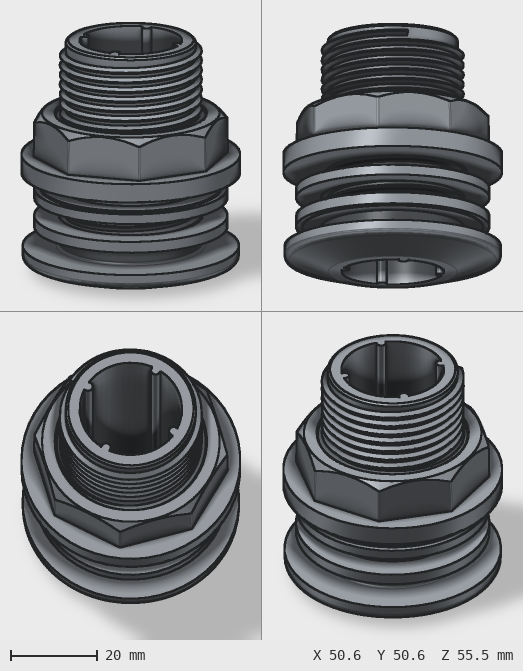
import cadquery as cq
import math

total_height = 55.5

bore_radius = 11.8
tube_radius = 15.05
tube_end_chamfer = 0.55
neck_radius = 16.6
neck_top = 12.2
neck_fillet = 0.65
stem_flange_radius = 25.05
stem_flange_top = 6.15
stem_base_radius = 14.95
stem_corner_height = 3.05
stem_corner_fillet = 1.45

rib_count = 4
rib_radius = 1.1
rib_tip_radius = 10.3
rib_embed = 0.55

thread_crest_radius = 16.45
thread_half_angle = 27.5
thread_top = 53.4
thread_end_angle = 90.0
thread_turns = 18
thread_length = 41.55
thread_pitch = thread_length / thread_turns
thread_embed = 0.15

nut_bottom = 23.7
nut_top = 37.95
nut_flange_radius = 25.3
nut_flange_height = 4.4
nut_sides = 8
nut_corner_radius = 22.6
nut_draft = 0.9
nut_twist = 1.2
nut_edge_fillet = 0.55
nut_top_face_radius = 20.55
nut_crown_radius = 22.5
nut_crown_drop = 1.85
nut_bore_radius = tube_radius + 0.35
nut_groove_radius = thread_crest_radius + 0.8
nut_groove_end_angle = 270.0
nut_groove_turns = 8
nut_groove_turns_below_tip = 7
nut_mouth_radius = 17.6
nut_mouth_chamfer = 0.3
nut_mouth_depth = 0.5

washer_radius = 22.35
washer_ring_radius = 20.9
upper_washer_bottom = 17.65
upper_washer_thickness = 2.35
upper_washer_ring_height = 0.4
lower_washer_top = 13.4
lower_washer_thickness = 2.6
lower_washer_ring_height = 0.15


def cylinder(radius, bottom, top):
    return cq.Workplane("XY").workplane(offset=bottom).circle(radius).extrude(top - bottom)


def revolved(points):
    """Solid of revolution about Z from (radius, height) points."""
    return cq.Workplane("XZ").polyline(points).close().revolve(360, (0, 0), (0, 1))


def turned_about_z(body, angle):
    return body.rotate((0, 0, 0), (0, 0, 1), angle)


def helical_v(base_radius, apex_radius, turns, end_angle, end_height):
    """Right-handed V-section helix whose upper end is at end_angle and end_height."""
    length = turns * thread_pitch
    half_width = (apex_radius - base_radius) * math.tan(math.radians(thread_half_angle))
    path = cq.Workplane(cq.Wire.makeHelix(thread_pitch, length, base_radius))
    helix = (
        cq.Workplane("XZ")
        .polyline([(base_radius, -half_width), (apex_radius, 0), (base_radius, half_width)])
        .close()
        .sweep(path, isFrenet=True)
    )
    return turned_about_z(helix, end_angle - 360 * turns).translate((0, 0, end_height - length))


def make_stem_flange():
    """Flange with a conical underside and a rounded lower corner."""
    disc = revolved([
        (0, 0),
        (stem_base_radius, 0),
        (stem_flange_radius, stem_corner_height),
        (stem_flange_radius, stem_flange_top),
        (0, stem_flange_top),
    ])
    lower_corner = cq.selectors.NearestToPointSelector((stem_flange_radius, 0, stem_corner_height))
    return disc.edges("%CIRCLE").edges(lower_corner).fillet(stem_corner_fillet)


def make_neck():
    """Plain neck with a concave fillet down onto the flange."""
    return (
        cq.Workplane("XZ")
        .moveTo(0, stem_flange_top)
        .lineTo(neck_radius + neck_fillet, stem_flange_top)
        .radiusArc((neck_radius, stem_flange_top + neck_fillet), neck_fillet)
        .lineTo(neck_radius, neck_top)
        .lineTo(0, neck_top)
        .close()
        .revolve(360, (0, 0), (0, 1))
    )


def make_rib(angle):
    """Full-length bore rib with a rounded tip."""
    tip_centre = rib_tip_radius + rib_radius
    root = bore_radius + rib_embed
    rib = (
        cq.Workplane("XY")
        .moveTo(root, -rib_radius)
        .lineTo(tip_centre, -rib_radius)
        .threePointArc((rib_tip_radius, 0), (tip_centre, rib_radius))
        .lineTo(root, rib_radius)
        .close()
        .extrude(total_height)
    )
    return turned_about_z(rib, angle)


def make_stem():
    tube = cylinder(tube_radius, neck_top, total_height).faces(">Z").chamfer(tube_end_chamfer)
    body = make_stem_flange().union(make_neck()).union(tube)
    body = body.cut(cylinder(bore_radius, 0, total_height))
    for index in range(rib_count):
        body = body.union(make_rib(index * 360 / rib_count))
    thread = helical_v(
        tube_radius - thread_embed, thread_crest_radius, thread_turns, thread_end_angle, thread_top
    )
    return body.union(thread)


def make_nut_blank():
    """Octagonal nut with drafted sides and a conical crown on a round flange."""
    flange_top = nut_bottom + nut_flange_height
    flange = cylinder(nut_flange_radius, nut_bottom, flange_top)
    octagon = (
        cq.Workplane("XY")
        .workplane(offset=flange_top)
        .polygon(nut_sides, 2 * nut_corner_radius)
        .extrude(nut_top - flange_top, taper=nut_draft)
        .edges("not #Z")
        .fillet(nut_edge_fillet)
    )
    crown_bottom = nut_top - nut_crown_drop
    crown = revolved([
        (0, flange_top),
        (nut_flange_radius, flange_top),
        (nut_flange_radius, crown_bottom),
        (nut_crown_radius, crown_bottom),
        (nut_top_face_radius, nut_top),
        (0, nut_top),
    ])
    return flange.union(turned_about_z(octagon, 180 / nut_sides + nut_twist).intersect(crown))


def make_tap():
    """Threaded rod, longer than the nut, that leaves the nut's bore and thread groove."""
    turns_below_thread_top = nut_groove_turns_below_tip - (nut_groove_end_angle - thread_end_angle) / 360
    groove = helical_v(
        nut_bore_radius - thread_embed,
        nut_groove_radius,
        nut_groove_turns,
        nut_groove_end_angle,
        thread_top - turns_below_thread_top * thread_pitch,
    )
    return cylinder(nut_bore_radius, neck_top, thread_top).union(groove)


def make_nut():
    mouth_floor = nut_top - nut_mouth_depth
    mouth = revolved([
        (0, mouth_floor),
        (nut_mouth_radius - nut_mouth_chamfer, mouth_floor),
        (nut_mouth_radius, nut_top),
        (0, nut_top),
    ])
    return make_nut_blank().cut(mouth).cut(make_tap())


def make_washer(thickness, ring_height):
    """Washer standing on Z = 0 with its raised ring on top, bored to fit the neck."""
    full_height = thickness + ring_height
    disc = cylinder(washer_radius, 0, thickness)
    ring = cylinder(washer_ring_radius, thickness, full_height)
    return disc.union(ring).cut(cylinder(neck_radius, 0, full_height))


stem = make_stem()
nut = make_nut()
upper_washer = make_washer(upper_washer_thickness, upper_washer_ring_height).translate(
    (0, 0, upper_washer_bottom)
)
lower_washer = (
    make_washer(lower_washer_thickness, lower_washer_ring_height)
    .rotate((0, 0, 0), (1, 0, 0), 180)
    .translate((0, 0, lower_washer_top))
)

result = cq.Compound.makeCompound([stem.val(), nut.val(), upper_washer.val(), lower_washer.val()])